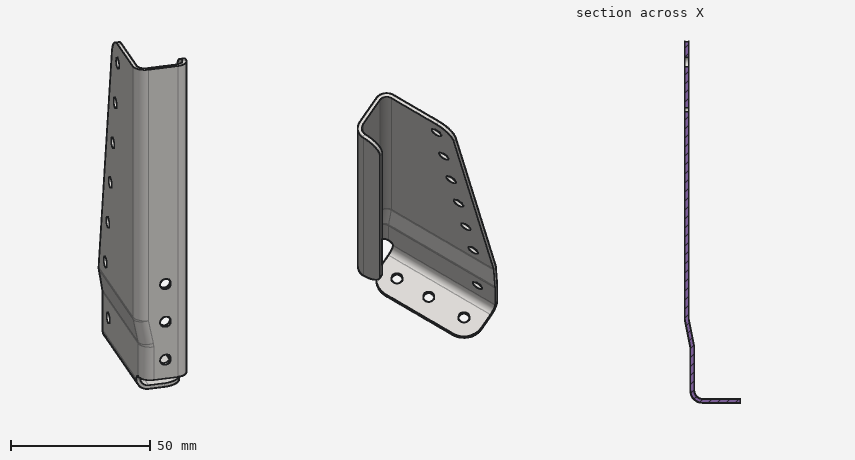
import cadquery as cq
import math

width = 50.0
depth = 20.0
height = 130.0
thickness = 1.5
inner_radius = 2 * thickness
outer_radius = inner_radius + thickness
corner_radius = 7.5
hole_diameter = 4.0
edge_distance = 7.5

joggle_offset = 2.0
joggle_bottom = 20.0
joggle_top = 30.0
joggle_angle = math.atan2(joggle_offset, joggle_top - joggle_bottom)

top_width = 30.0
taper_start = joggle_bottom
taper_run = width - top_width
taper_angle = math.atan2(taper_run, height - taper_start)
taper_pitch = 17.5
taper_hole_count = 6

base_width = 43.5
relief_radius = 2.0
channel_bottom = outer_radius + relief_radius
bend_start = width - outer_radius
lip_width = 11.5

lower_hole_z = 12.5
base_hole_x = (edge_distance, 22.5, base_width - edge_distance)
web_hole_y = (joggle_offset + depth) / 2
web_hole_pitch = 15.0
web_hole_count = 3

clearance = 5.0


def channel_block(inset, left, bottom, top, upper_bend, lower_bend, corner):
    """Block bounded by the channel's front, back and web surfaces, moved inward by inset."""
    kink_shift = inset * math.tan(joggle_angle / 2)
    upper_kink = (inset, joggle_top + kink_shift)
    lower_kink = (joggle_offset + inset, joggle_bottom + kink_shift)
    right = width - inset
    block = (
        cq.Workplane("YZ", origin=(left, 0, 0))
        .moveTo(inset, top)
        .lineTo(*upper_kink)
        .lineTo(*lower_kink)
        .lineTo(joggle_offset + inset, bottom)
        .lineTo(depth - inset, bottom)
        .lineTo(depth - inset, top)
        .close()
        .extrude(right - left)
    )
    middle = (left + right) / 2
    for (y, z), radius in ((upper_kink, upper_bend), (lower_kink, lower_bend)):
        kink_edge = cq.selectors.NearestToPointSelector((middle, y, z))
        block = block.edges("|X").edges(kink_edge).fillet(radius)
    upright_edges = block.faces(">X").edges("not(<Z or >Z)")
    return upright_edges.fillet(corner)


def make_channel():
    """U-shaped channel: front plate, web and back lip."""
    outside = channel_block(0, 0, channel_bottom, height, outer_radius, inner_radius, outer_radius)
    inside = channel_block(
        thickness, -clearance, channel_bottom - clearance, height + clearance,
        inner_radius, outer_radius, inner_radius,
    )
    return outside.cut(inside)


def make_base():
    """Foot of the front plate, bent back into the horizontal base flange."""
    foot = (
        cq.Workplane("YZ")
        .moveTo(joggle_offset, channel_bottom)
        .lineTo(joggle_offset, outer_radius)
        .radiusArc((joggle_offset + outer_radius, 0), -outer_radius)
        .lineTo(depth, 0)
        .lineTo(depth, thickness)
        .lineTo(joggle_offset + outer_radius, thickness)
        .radiusArc((joggle_offset + thickness, outer_radius), inner_radius)
        .lineTo(joggle_offset + thickness, channel_bottom)
        .close()
        .extrude(bend_start)
    )
    relief = (
        cq.Workplane("XY")
        .box(width - base_width, depth, channel_bottom, centered=False)
        .edges("|Y and <X and >Z")
        .fillet(relief_radius)
        .translate((base_width, 0, 0))
    )
    return foot.cut(relief).edges("|Z and >Y").fillet(corner_radius)


def plate_trim():
    """Region kept of the front plate: tapered left edge with a rounded top corner."""
    return (
        cq.Workplane("XZ")
        .polyline([(0, 0), (width, 0), (width, height), (taper_run, height), (0, taper_start)])
        .close()
        .extrude(-depth / 2)
        .edges(cq.selectors.NearestToPointSelector((taper_run, depth / 4, height)))
        .fillet(corner_radius)
    )


def lip_trim():
    """Region kept of the back lip: a narrow strip with rounded free corners."""
    return (
        cq.Workplane("XY", origin=(width - lip_width, depth / 2, channel_bottom))
        .box(lip_width, depth / 2, height - channel_bottom, centered=False)
        .edges("|Y and <X")
        .fillet(corner_radius)
    )


def plate_holes():
    """Row of holes along the tapered edge, plus one below the joggle."""
    top_z = height - corner_radius
    top_x = taper_run - corner_radius * math.tan(taper_angle) + corner_radius / math.cos(taper_angle)
    centers = [(edge_distance, lower_hole_z)]
    for i in range(taper_hole_count):
        distance = i * taper_pitch
        x = top_x - distance * math.sin(taper_angle)
        z = top_z - distance * math.cos(taper_angle)
        centers.append((x, z))
    return cq.Workplane("XZ").pushPoints(centers).circle(hole_diameter / 2).extrude(-depth / 2)


def base_holes():
    centers = [(x, depth - edge_distance) for x in base_hole_x]
    return cq.Workplane("XY").pushPoints(centers).circle(hole_diameter / 2).extrude(thickness)


def web_holes():
    lowest_z = channel_bottom + edge_distance
    centers = [(web_hole_y, lowest_z + i * web_hole_pitch) for i in range(web_hole_count)]
    web = cq.Workplane("YZ", origin=(width - thickness, 0, 0))
    return web.pushPoints(centers).circle(hole_diameter / 2).extrude(thickness)


channel = make_channel().intersect(plate_trim().union(lip_trim()))
result = channel.union(make_base())
result = result.cut(plate_holes()).cut(base_holes()).cut(web_holes())